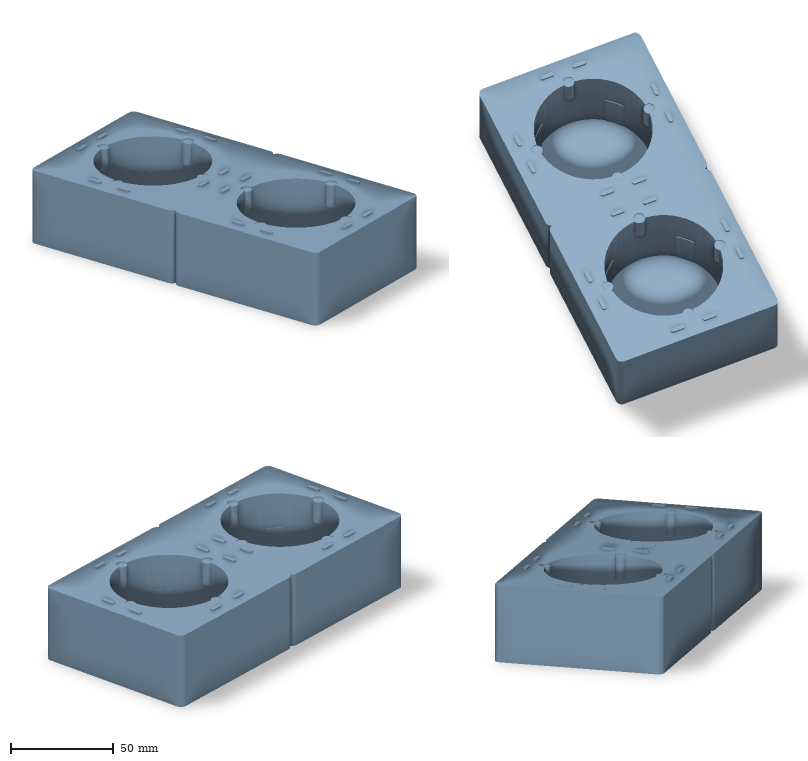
import cadquery as cq

BOX_SIDE = 85.9
TOTAL_HEIGHT = 40.0
TAB_HEIGHT = 1.0
BOX_HEIGHT = TOTAL_HEIGHT - TAB_HEIGHT
CORNER_RADIUS = 3.0
BOX_COUNT = 2

FLOOR_THICKNESS = 2.0
SOCKET_RADIUS = 29.0

PAD_DEPTH = 0.3
PAD_FACE_RADIUS = SOCKET_RADIUS - PAD_DEPTH
PAD_TOP_Z = 20.5
PAD_TOP_WIDTH = 9.5
PAD_FLOOR_WIDTH = 8.2
PAD_ROOT_RADIUS = 31.0
PAD_START_ANGLE = 45

POST_RADIUS = 2.7
POST_CIRCLE_RADIUS = 29.9
POST_SINK = 0.5
POST_LENGTH = 11.7

TAB_LENGTH = 7.0
TAB_WIDTH = 2.0
TAB_SPACING = 17.0
TAB_OFFSET = 36.6

QUARTER_TURNS = (0, 90, 180, 270)


def turned(shape, angle):
    return shape.rotate((0, 0, 0), (0, 0, 1), angle)


def make_shell():
    """Rounded block with an open-topped round socket."""
    block = (
        cq.Workplane("XY")
        .box(BOX_SIDE, BOX_SIDE, BOX_HEIGHT, centered=(True, True, False))
        .edges("|Z")
        .fillet(CORNER_RADIUS)
    )
    socket = (
        cq.Workplane("XY", origin=(0, 0, FLOOR_THICKNESS))
        .circle(SOCKET_RADIUS)
        .extrude(BOX_HEIGHT - FLOOR_THICKNESS)
    )
    return block.cut(socket)


def make_pad():
    """Pad on the +X side of the socket, with a face concentric to the socket."""
    wedge = (
        cq.Workplane("YZ")
        .moveTo(-PAD_FLOOR_WIDTH / 2, FLOOR_THICKNESS)
        .lineTo(PAD_FLOOR_WIDTH / 2, FLOOR_THICKNESS)
        .lineTo(PAD_TOP_WIDTH / 2, PAD_TOP_Z)
        .lineTo(-PAD_TOP_WIDTH / 2, PAD_TOP_Z)
        .close()
        .extrude(PAD_ROOT_RADIUS)
    )
    return wedge.cut(cq.Workplane("XY").circle(PAD_FACE_RADIUS).extrude(BOX_HEIGHT))


def make_post_cylinder(bottom_z, length):
    """Upright cylinder at the +X screw position."""
    return (
        cq.Workplane("XY", origin=(POST_CIRCLE_RADIUS, 0, bottom_z))
        .circle(POST_RADIUS)
        .extrude(length)
    )


def make_tab(y):
    """Round-ended tab on top of the box beside its +X edge."""
    return (
        cq.Workplane("XY", origin=(TAB_OFFSET, y, BOX_HEIGHT))
        .slot2D(TAB_LENGTH, TAB_WIDTH, 90)
        .extrude(TAB_HEIGHT)
    )


def make_socket_box():
    """One complete box, centred on the Z axis."""
    box = make_shell()
    post_top_z = BOX_HEIGHT - POST_SINK
    post = make_post_cylinder(post_top_z - POST_LENGTH, POST_LENGTH)
    post_recess = make_post_cylinder(post_top_z, POST_SINK)
    for angle in QUARTER_TURNS:
        box = box.union(turned(make_pad(), PAD_START_ANGLE + angle))
        box = box.cut(turned(post_recess, angle))
        box = box.union(turned(post, angle))
        for y in (-TAB_SPACING / 2, TAB_SPACING / 2):
            box = box.union(turned(make_tab(y), angle))
    return box


socket_box = make_socket_box()
socket_boxes = []
for index in range(BOX_COUNT):
    box_x = (index - (BOX_COUNT - 1) / 2) * BOX_SIDE
    socket_boxes.append(socket_box.translate((box_x, 0, 0)).solids().val())

result = cq.Compound.makeCompound(socket_boxes)